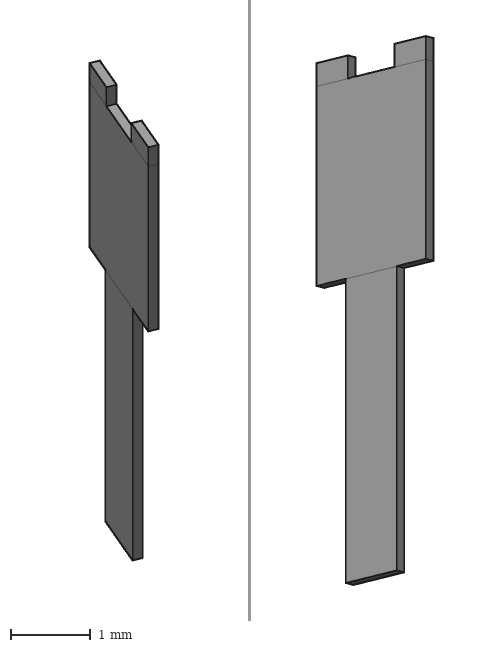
import cadquery as cq

thickness = 0.14
total_height = 6.86

plate_width = 1.91
plate_height = 2.6

tab_width = 0.55
tab_height = 0.3

stem_width = 0.89
stem_height = total_height - plate_height - tab_height


def strip(width, height, center_x, bottom_z):
    """Flat upright block of the common thickness, centred on Y = 0."""
    block = cq.Workplane("XY").box(width, thickness, height, centered=(True, True, False))
    return block.translate((center_x, 0, bottom_z))


plate_bottom = stem_height
plate_top = plate_bottom + plate_height
tab_offset = (plate_width - tab_width) / 2

result = strip(stem_width, stem_height, 0, 0)
result = result.union(strip(plate_width, plate_height, 0, plate_bottom), clean=False)
for side in (-1, 1):
    tab = strip(tab_width, tab_height, side * tab_offset, plate_top)
    result = result.union(tab, clean=False)